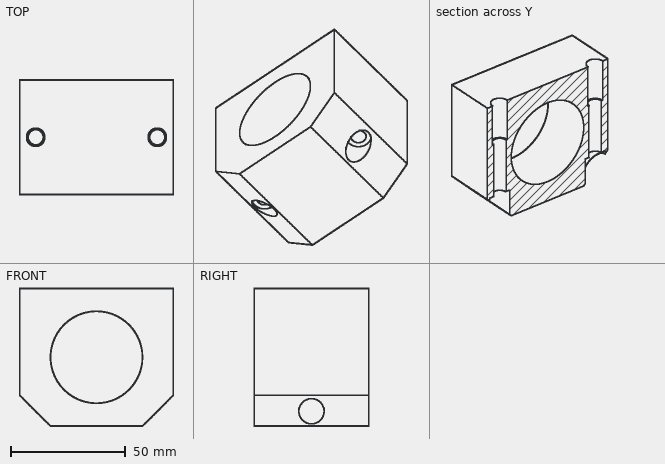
import cadquery as cq

length = 67.0
depth = 50.0
height = 60.0
corner_chamfer = 13.5
bore_diameter = 40.0

hole_spacing = 53.0
clearance_diameter = 6.6
upper_diameter = 8.0
upper_depth = 20.0
counterbore_diameter = 11.0
counterbore_depth = corner_chamfer

bottom_z = -height / 2
top_z = height / 2


def make_block():
    """Block centred on the origin with its two lower side edges chamfered."""
    block = cq.Workplane("XY").box(length, depth, height)
    return block.edges("|Y and <Z").chamfer(corner_chamfer)


def make_bore():
    """Main bore along Y, through the centre of the block."""
    return cq.Workplane("XZ").circle(bore_diameter / 2).extrude(depth / 2, both=True)


def vertical_cylinder(x, start_z, diameter, cylinder_height):
    """Cylinder rising from start_z on the mid-plane of the block."""
    base = cq.Workplane("XY", origin=(x, 0, start_z))
    return base.circle(diameter / 2).extrude(cylinder_height)


def make_mounting_hole(x):
    """Through hole, wider at the top and counterbored from below."""
    clearance = vertical_cylinder(x, bottom_z, clearance_diameter, height)
    upper = vertical_cylinder(x, top_z - upper_depth, upper_diameter, upper_depth)
    counterbore = vertical_cylinder(x, bottom_z, counterbore_diameter, counterbore_depth)
    return clearance.union(upper).union(counterbore)


result = make_block().cut(make_bore())
for side in (-1, 1):
    result = result.cut(make_mounting_hole(side * hole_spacing / 2))